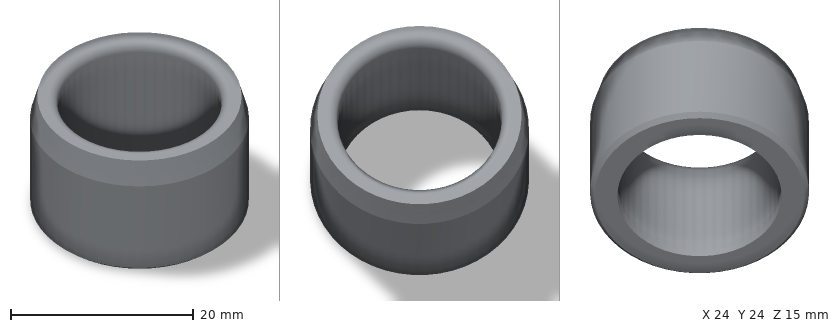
import cadquery as cq
import math

outer_diameter = 24.0
bore_diameter = 18.0
height = 15.0
lead_in_height = 3.0
lead_in_angle = 15.0
bottom_chamfer = 0.5
bore_fillet = 1.0

outer_radius = outer_diameter / 2
bore_radius = bore_diameter / 2
lead_in_inset = lead_in_height * math.tan(math.radians(lead_in_angle))

ring = cq.Workplane("XY").circle(outer_radius).circle(bore_radius).extrude(height)

top_outer_edge = cq.selectors.RadiusNthSelector(-1)
ring = ring.faces(">Z").edges(top_outer_edge).chamfer(lead_in_height, lead_in_inset)

bottom_outer_edge = cq.selectors.RadiusNthSelector(-1)
ring = ring.faces("<Z").edges(bottom_outer_edge).chamfer(bottom_chamfer)

bore_edge = cq.selectors.RadiusNthSelector(0)
result = ring.faces(">Z").edges(bore_edge).fillet(bore_fillet)